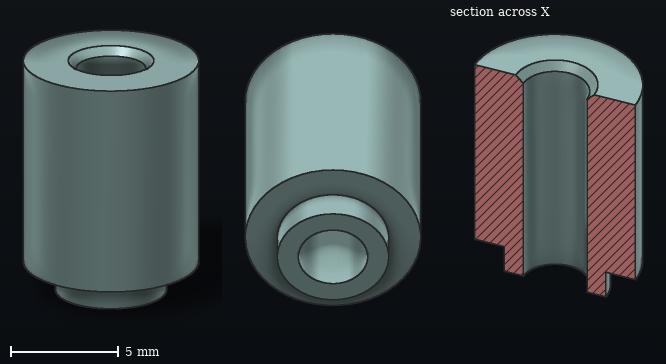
import cadquery as cq

total_height = 11.4
body_diameter = 8.2
spigot_diameter = 5.2
spigot_height = 1.4
body_height = total_height - spigot_height

bore_diameter = 3.24
countersink_diameter = 4.0
countersink_depth = (countersink_diameter - bore_diameter) / 2

spigot = cq.Workplane("XY").circle(spigot_diameter / 2).extrude(spigot_height)
body = (
    cq.Workplane("XY")
    .workplane(offset=spigot_height)
    .circle(body_diameter / 2)
    .extrude(body_height)
)
sleeve = body.union(spigot)

bore = cq.Workplane("XY").circle(bore_diameter / 2).extrude(total_height)
bored_sleeve = sleeve.cut(bore)
result = bored_sleeve.faces(">Z").edges("%CIRCLE").edges(
    cq.selectors.RadiusNthSelector(0)
).chamfer(countersink_depth)